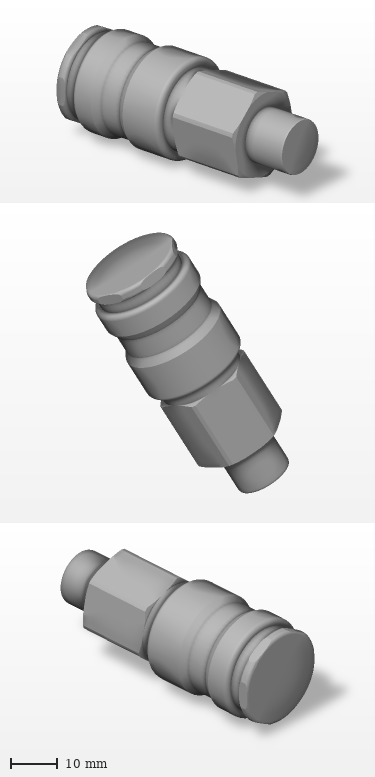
import cadquery as cq
import math


total_length = 58.5
flange_end = 2.5
sleeve_start = 5.2
groove_start = 12.35
groove_end = 17.25
sleeve_end = 28.65
nut_start = 31.4
nut_end = 48.55

crown_radius = 11.0
crown_fillet = 0.8
flange_across_flats = 21.0

front_neck_radius = 20.0 / 2
rear_neck_radius = 19.0 / 2
stem_radius = 12.5 / 2
stem_chamfer_length = 0.35
stem_chamfer_depth = 0.1

sleeve_radius = 23.15 / 2
groove_radius = 21.0 / 2
groove_flank_angle = 30.0
sleeve_fillet = 1.0

nut_across_flats = 19.0
nut_corner_radius = 10.7
nut_face_radius = 19.35 / 2
nut_chamfer_length = 0.4
nut_turn = 11.7

HEX_SIDES = 6


def hexagon_prism(across_flats, start, end, turn):
    """Hexagonal bar along X; a pair of flats faces +/-Y before turning about X."""
    corner_diameter = across_flats / math.cos(math.pi / HEX_SIDES)
    return (
        cq.Workplane("YZ", origin=(start, 0, 0))
        .transformed(rotate=(0, 0, 180 / HEX_SIDES + turn))
        .polygon(HEX_SIDES, corner_diameter)
        .extrude(end - start)
    )


def cylinder(radius, start, end):
    return cq.Workplane("YZ", origin=(start, 0, 0)).circle(radius).extrude(end - start)


def revolve_about_x(profile):
    return profile.close().revolve(360, (0, 0, 0), (1, 0, 0))


def make_flange():
    """Front disc with rounded rim edges and six wrench flats."""
    disc = cylinder(crown_radius, 0, flange_end).edges().fillet(crown_fillet)
    return disc.intersect(hexagon_prism(flange_across_flats, 0, flange_end, 0))


def make_nut():
    """Hexagon with turned-down corners and a conical chamfer at each end."""
    envelope = revolve_about_x(
        cq.Workplane("XY")
        .moveTo(nut_start, 0)
        .lineTo(nut_start, nut_face_radius)
        .lineTo(nut_start + nut_chamfer_length, nut_corner_radius)
        .lineTo(nut_end - nut_chamfer_length, nut_corner_radius)
        .lineTo(nut_end, nut_face_radius)
        .lineTo(nut_end, 0)
    )
    return envelope.intersect(hexagon_prism(nut_across_flats, nut_start, nut_end, nut_turn))


def make_stem():
    """Plain round end with a small chamfer."""
    return revolve_about_x(
        cq.Workplane("XY")
        .moveTo(nut_end, 0)
        .lineTo(nut_end, stem_radius)
        .lineTo(total_length - stem_chamfer_length, stem_radius)
        .lineTo(total_length, stem_radius - stem_chamfer_depth)
        .lineTo(total_length, 0)
    )


def make_core():
    """Coupling core: flange, necks, nut and stem in one piece."""
    front_neck = cylinder(front_neck_radius, flange_end, sleeve_start)
    rear_neck = cylinder(rear_neck_radius, sleeve_start, nut_start)
    return make_flange().union(front_neck).union(rear_neck).union(make_nut()).union(make_stem())


def make_sleeve():
    """Grip ring around the rear neck, with a waist and rounded outer ends."""
    flank_length = (sleeve_radius - groove_radius) / math.tan(math.radians(groove_flank_angle))
    ring = revolve_about_x(
        cq.Workplane("XY")
        .moveTo(sleeve_start, rear_neck_radius)
        .lineTo(sleeve_start, sleeve_radius)
        .lineTo(groove_start - flank_length, sleeve_radius)
        .lineTo(groove_start, groove_radius)
        .lineTo(groove_end, groove_radius)
        .lineTo(groove_end + flank_length, sleeve_radius)
        .lineTo(sleeve_end, sleeve_radius)
        .lineTo(sleeve_end, rear_neck_radius)
    )
    outer_edges = cq.selectors.RadiusNthSelector(-1)
    return (
        ring.faces("<X").edges(outer_edges).fillet(sleeve_fillet)
        .faces(">X").edges(outer_edges).fillet(sleeve_fillet)
    )


core = make_core()
sleeve = make_sleeve()

result = cq.Compound.makeCompound([core.val(), sleeve.val()])